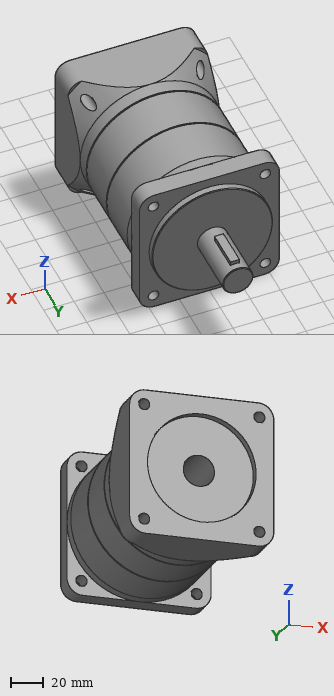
import cadquery as cq

LENGTH = 176.0

WIDTH = 93.0
CORNER_RADIUS = 10.0
BARREL_RADIUS = WIDTH / 2
BOLT_SPACING = 74.3
BOLT_HOLE_DIAMETER = 7.0

CORNER_END = 19.9
CONE_END = 39.0
RING_START = 49.0
RING_END = 80.0
COLLAR_START = 112.1
FLANGE_START = 119.0
FLANGE_END = 131.3
PILOT_END = 136.0

CONE_BASE_RADIUS = 59.7

BEVEL = 0.5

PILOT_DIAMETER = 80.0
SHAFT_DIAMETER = 20.0
KEY_WIDTH = 6.0
KEY_LENGTH = 25.0
KEY_TOP = 12.5
KEY_END_GAP = 5.0

RECESS_DIAMETER = 70.0
RECESS_DEPTH = 5.5
INPUT_BORE_DIAMETER = 20.0


def section_at(y):
    """Workplane across the gearbox axis at station y, extruding toward +Y."""
    return cq.Workplane(cq.Plane(origin=(0, y, 0), xDir=(1, 0, 0), normal=(0, 1, 0)))


def disc(diameter, start, end):
    return section_at(start).circle(diameter / 2).extrude(end - start)


def square_block(start, end):
    """Square block with rounded corners."""
    block = section_at(start).rect(WIDTH, WIDTH).extrude(end - start)
    return block.edges("|Y").fillet(CORNER_RADIUS)


def bolt_holes(start, end):
    """Cutter for the four bolt holes in the corners of a flange."""
    centres = section_at(start).rect(BOLT_SPACING, BOLT_SPACING, forConstruction=True).vertices()
    return centres.circle(BOLT_HOLE_DIAMETER / 2).extrude(end - start)


def make_motor_adapter():
    envelope = (
        cq.Workplane("XY")
        .lineTo(WIDTH, 0)
        .lineTo(WIDTH, CORNER_END)
        .lineTo(CONE_BASE_RADIUS, CORNER_END)
        .lineTo(BARREL_RADIUS, CONE_END)
        .lineTo(0, CONE_END)
        .close()
        .revolve(360, (0, 0, 0), (0, 1, 0))
    )
    body = square_block(0, CONE_END).intersect(envelope)
    barrel = disc(WIDTH, CONE_END, RING_START).faces(">Y").edges().chamfer(BEVEL)
    body = body.union(barrel)
    body = body.cut(bolt_holes(0, CONE_END))
    body = body.cut(disc(RECESS_DIAMETER, 0, RECESS_DEPTH))
    return body.cut(disc(INPUT_BORE_DIAMETER, 0, RING_START))


def make_gear_ring():
    return disc(WIDTH, RING_START, RING_END).faces(">Y").edges().chamfer(BEVEL)


def make_middle_ring():
    return disc(WIDTH, RING_END, COLLAR_START)


def make_output_housing():
    """Collar, flange, pilot and keyed shaft in one piece."""
    collar = disc(WIDTH, COLLAR_START, FLANGE_START)
    flange = square_block(FLANGE_START, FLANGE_END)
    pilot = disc(PILOT_DIAMETER, FLANGE_END, PILOT_END).faces(">Y").edges().chamfer(BEVEL)
    shaft = disc(SHAFT_DIAMETER, PILOT_END, LENGTH).faces(">Y").edges().chamfer(BEVEL)
    key_end = LENGTH - KEY_END_GAP
    key = cq.Workplane("XY").box(KEY_WIDTH, KEY_LENGTH, KEY_TOP, centered=(True, False, False))
    key = key.translate((0, key_end - KEY_LENGTH, 0))
    body = flange.cut(bolt_holes(FLANGE_START, FLANGE_END))
    return body.union(collar).union(pilot).union(shaft).union(key)


motor_adapter = make_motor_adapter()
gear_ring = make_gear_ring()
middle_ring = make_middle_ring()
output_housing = make_output_housing()

result = cq.Compound.makeCompound(
    [motor_adapter.val(), gear_ring.val(), middle_ring.val(), output_housing.val()]
)